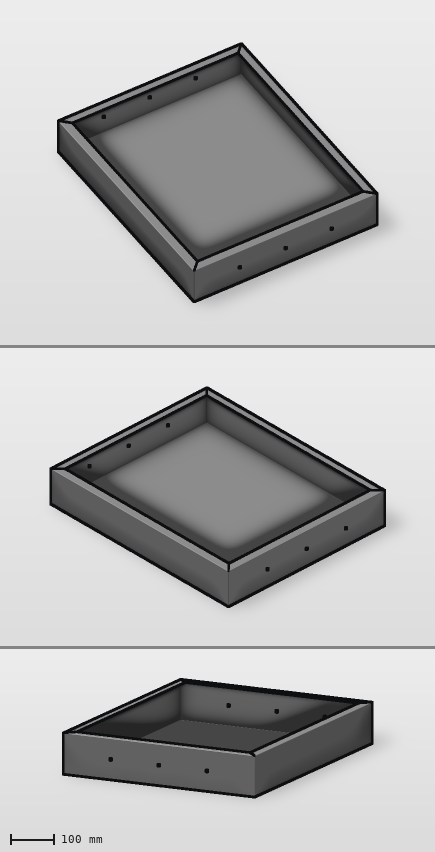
import cadquery as cq
import math

length = 600.0
width = length * 5 / 6
height = length / 6

sheet = 1.5
inner_bend_radius = 1.0
outer_bend_radius = inner_bend_radius + sheet

flange = length / 24
mitre_gap = 0.3

hole_diameter = 6.0
hole_spacing = width / 4


def rounded_box(inset, radius):
    """Box inset from the overall size on every side, with all edges rounded."""
    return (
        cq.Workplane("XY", origin=(0, 0, height / 2))
        .box(length - 2 * inset, width - 2 * inset, height - 2 * inset)
        .edges()
        .fillet(radius)
    )


def top_opening():
    """Rectangular opening framed by the flange."""
    return (
        cq.Workplane("XY", origin=(0, 0, height / 2))
        .rect(length - 2 * flange, width - 2 * flange)
        .extrude(height)
    )


def mitre_slit(x_side, y_side):
    """Diagonal slit from a corner of the opening to the start of the bends."""
    run = flange - outer_bend_radius
    x_middle = x_side * (length / 2 - outer_bend_radius - run / 2)
    y_middle = y_side * (width / 2 - outer_bend_radius - run / 2)
    return (
        cq.Workplane("XY")
        .box(run * math.sqrt(2), mitre_gap, 2 * sheet)
        .rotate((0, 0, 0), (0, 0, 1), 45 * x_side * y_side)
        .translate((x_middle, y_middle, height - sheet / 2))
    )


def end_wall_holes():
    """Three drills running the whole length of the tray."""
    return (
        cq.Workplane("YZ", origin=(-length / 2, 0, height / 2))
        .pushPoints([(step * hole_spacing, 0) for step in (-1, 0, 1)])
        .circle(hole_diameter / 2)
        .extrude(length)
    )


result = rounded_box(0, outer_bend_radius).cut(rounded_box(sheet, inner_bend_radius))
result = result.cut(top_opening())
for x_side in (-1, 1):
    for y_side in (-1, 1):
        result = result.cut(mitre_slit(x_side, y_side))
result = result.cut(end_wall_holes())